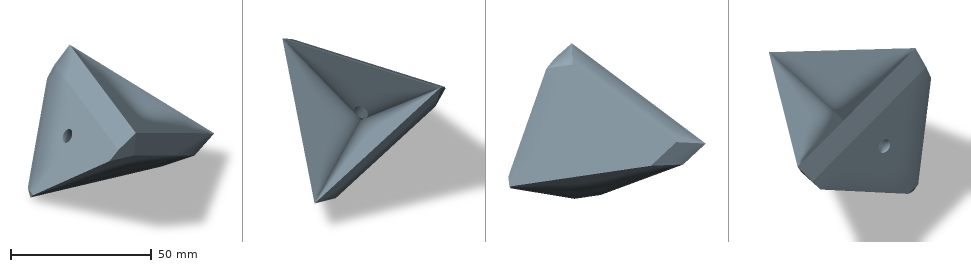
import cadquery as cq
import math

plate_thickness = 6.3
half_width = 30.5
overall_length = 71.05
hole_diameter = 5.2
hole_height = 22.75

root_two = math.sqrt(2)
corner_height = plate_thickness * root_two
total_height = corner_height + half_width
rear_reach = half_width * root_two
front_reach = overall_length - rear_reach
front_slope = root_two
stock_size = 284.2

keel = cq.Vector(0, 0, 0)
inner_corner = cq.Vector(0, 0, corner_height)
rear_tip = cq.Vector(0, rear_reach, corner_height)
top_edge = cq.Vector(0, 0, total_height)
along_y = cq.Vector(0, 1, 0)
up_right = cq.Vector(1, 0, 1).normalized()
up_left = cq.Vector(-1, 0, 1).normalized()
down_right = up_left * -1
down_left = up_right * -1


def convex_body(faces):
    """Trim a block to the inside of every (point, outward normal) face."""
    body = cq.Workplane("XY").box(stock_size, stock_size, stock_size)
    for point, normal in faces:
        waste = cq.Workplane(cq.Plane(origin=point, normal=normal)).rect(
            2 * stock_size, 2 * stock_size
        ).extrude(stock_size)
        body = body.cut(waste)
    return body.solids()


def bevel_normal(edge_normal, outer_normal):
    """Normal halfway between a plate's edge direction and its outer face."""
    return (edge_normal.normalized() + outer_normal).normalized()


left_bevel = bevel_normal(up_left + along_y, down_left)
right_bevel = bevel_normal(up_right + along_y, down_right)
joint = (keel, along_y * -1)


def make_left_plate():
    """Left plate, butting against the inner face of the right plate."""
    return convex_body([
        joint,
        (keel, down_left),
        (inner_corner, up_right),
        (inner_corner, down_right),
        (rear_tip, left_bevel),
    ])


def make_right_plate():
    """Right plate, running under the left plate to the keel."""
    end_bevel = bevel_normal(along_y - up_right * root_two, down_right)
    return convex_body([
        joint,
        (keel, down_right),
        (inner_corner, up_left),
        (keel, down_left),
        (rear_tip, right_bevel),
        (rear_tip, end_bevel),
    ])


def make_front_block():
    """Front block with bevelled top and sides, a sloping face and a hole."""
    slope_normal = cq.Vector(0, -front_slope, 1).normalized()
    slope_top = cq.Vector(0, -plate_thickness, total_height - plate_thickness)
    block = convex_body([
        (keel, along_y),
        (keel, down_left),
        (keel, down_right),
        (cq.Vector(-half_width, 0, total_height), cq.Vector(left_bevel.x, 0, left_bevel.z)),
        (cq.Vector(half_width, 0, total_height), cq.Vector(right_bevel.x, 0, right_bevel.z)),
        (top_edge, cq.Vector(0, -1, 1)),
        (slope_top, slope_normal),
        (cq.Vector(0, -front_reach, 0), along_y * -1),
    ])
    hole_y = slope_top.y + (hole_height - slope_top.z) / front_slope
    hole_plane = cq.Plane(origin=(0, hole_y, hole_height), normal=slope_normal)
    hole = cq.Workplane(hole_plane).circle(hole_diameter / 2).extrude(stock_size, both=True)
    return block.cut(hole).solids()


left_plate = make_left_plate()
right_plate = make_right_plate()
front_block = make_front_block()

result = cq.Compound.makeCompound([left_plate.val(), right_plate.val(), front_block.val()])